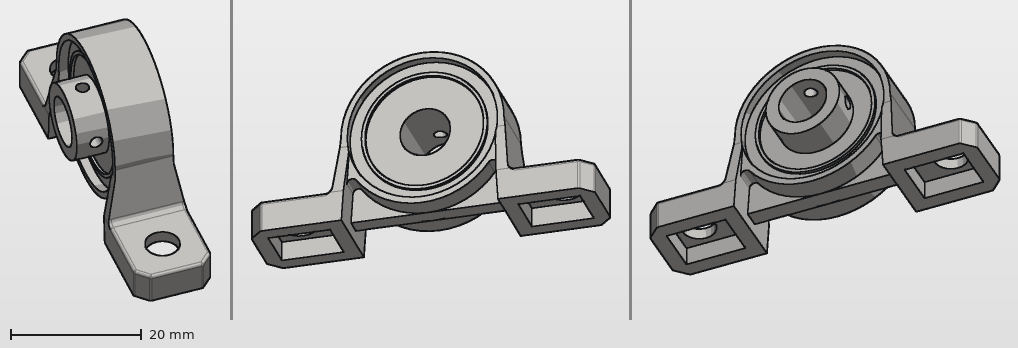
import cadquery as cq

half_length = 27.3
foot_width = 12.55
foot_height = 5.15
corner_chamfer = 2.0
edge_round = 0.5
mount_hole_diameter = 5.35
mount_hole_x = 21.05
foot_wall = 2.5
foot_roof = 1.95

ring_diameter = 25.95
ring_width = 9.5
underside_gap = 2.0
ring_radius = ring_diameter / 2
axis_z = underside_gap + ring_radius
total_height = axis_z + ring_radius

leg_outer_bottom_x = 14.6
leg_inner_bottom_x = 12.45
leg_inner_top_x = 11.6
leg_flare_top_z = 13.5
leg_root_radius = 1.0

web_thickness = 2.75
web_corner_radius = 0.8

recess_diameter = 23.9
recess_depth = 1.55
lip_outer_diameter = 20.0
lip_inner_diameter = 18.85
lip_height = 0.5
collar_diameter = 12.3
collar_front_y = -8.45
bore_diameter = 8.0
set_screw_diameter = 2.0
set_screw_y = -5.3
set_screw_angles = (0, 90)

half_foot_width = foot_width / 2
half_ring_width = ring_width / 2
bearing_face_y = half_ring_width - recess_depth
sides = (-1, 1)


def disc(diameter, y_start, y_end):
    """Cylinder on the bearing axis between two Y positions."""
    return (
        cq.Workplane("XZ", origin=(0, y_start, axis_z))
        .circle(diameter / 2)
        .extrude(y_start - y_end)
    )


def make_right_foot():
    """Foot block on +X with chamfered outer corners and rounded edges."""
    length = half_length - leg_inner_bottom_x
    foot = (
        cq.Workplane("XY", origin=(leg_inner_bottom_x + length / 2, 0, 0))
        .rect(length, foot_width)
        .extrude(foot_height)
    )
    foot = foot.edges("|Z and >X").chamfer(corner_chamfer)
    foot = foot.edges("|Z").edges("not(<X)").fillet(edge_round)
    return foot.faces(">Z").edges("not(<X)").fillet(edge_round)


def make_front_outline():
    """Ring and legs seen along Y, extruded beyond the foot width."""
    depth = 2 * foot_width
    return (
        cq.Workplane("XZ", origin=(0, depth / 2, 0))
        .moveTo(-leg_outer_bottom_x, 0)
        .lineTo(-ring_radius, axis_z)
        .threePointArc((0, total_height), (ring_radius, axis_z))
        .lineTo(leg_outer_bottom_x, 0)
        .close()
        .extrude(depth)
    )


def make_side_outline():
    """Foot, flared leg and ring widths seen along X, over the full length."""
    return (
        cq.Workplane("YZ", origin=(-half_length, 0, 0))
        .moveTo(0, 0)
        .lineTo(half_foot_width, 0)
        .lineTo(half_foot_width, foot_height)
        .lineTo(half_ring_width, leg_flare_top_z)
        .lineTo(half_ring_width, total_height)
        .lineTo(0, total_height)
        .mirrorY()
        .extrude(2 * half_length)
    )


def make_leg_gap(start_y, end_y):
    """Tapered prism filling the space between the legs from start_y to end_y."""
    return (
        cq.Workplane("XZ", origin=(0, start_y, 0))
        .moveTo(-leg_inner_bottom_x, 0)
        .lineTo(leg_inner_bottom_x, 0)
        .lineTo(leg_inner_top_x, leg_flare_top_z)
        .lineTo(-leg_inner_top_x, leg_flare_top_z)
        .close()
        .extrude(start_y - end_y)
    )


def make_solid_housing():
    """Solid ring, legs and feet with filleted leg roots."""
    foot = make_right_foot()
    housing = make_front_outline().union(foot).union(foot.mirror("YZ"))
    root_reach_y = half_foot_width + edge_round
    for side in sides:
        leg_root = cq.selectors.BoxSelector(
            (side * ring_radius, -root_reach_y, edge_round),
            (side * leg_outer_bottom_x, root_reach_y, foot_height + edge_round),
        )
        housing = housing.edges(leg_root).fillet(leg_root_radius)
    return housing.intersect(make_side_outline())


def open_leg_gap(housing):
    """Clear the gap below the ring and beside the web that joins ring and legs."""
    ring = disc(ring_diameter, -half_foot_width, half_foot_width)
    below_web = make_leg_gap(-half_foot_width, half_foot_width).intersect(
        cq.Workplane("XY").box(
            2 * half_length, foot_width, underside_gap, centered=(True, True, False)
        )
    )
    housing = housing.cut(below_web)
    for side in sides:
        outer_y = side * half_foot_width
        beside_ring = make_leg_gap(side * half_ring_width, outer_y)
        beside_web = make_leg_gap(side * web_thickness / 2, outer_y).cut(ring)
        beside_web = beside_web.edges("|Y").edges(">Z").fillet(web_corner_radius)
        housing = housing.cut(beside_ring).cut(beside_web)
    return housing


def hollow_feet(housing):
    """Bolt holes and the open cavities under the feet."""
    cavity_start_x = leg_inner_bottom_x + foot_wall
    cavity_length = half_length - foot_wall - cavity_start_x
    for side in sides:
        cavity = cq.Workplane("XY", origin=(side * (cavity_start_x + cavity_length / 2), 0, 0)).box(
            cavity_length, foot_width - 2 * foot_wall, foot_height - foot_roof,
            centered=(True, True, False),
        )
        hole = (
            cq.Workplane("XY", origin=(side * mount_hole_x, 0, 0))
            .circle(mount_hole_diameter / 2)
            .extrude(foot_height)
        )
        housing = housing.cut(cavity).cut(hole)
    return housing


def fit_bearing(housing):
    """Recessed bearing faces with a raised lip, and the collar with its set screw holes."""
    for side in sides:
        face_y = side * bearing_face_y
        lip_y = side * (bearing_face_y + lip_height)
        recess = disc(recess_diameter, face_y, side * half_foot_width)
        lip = disc(lip_outer_diameter, face_y, lip_y).cut(disc(lip_inner_diameter, face_y, lip_y))
        housing = housing.cut(recess).union(lip)
    housing = housing.union(disc(collar_diameter, collar_front_y, 0))
    housing = housing.cut(disc(bore_diameter, collar_front_y, half_foot_width))
    for angle in set_screw_angles:
        set_screw = (
            cq.Workplane("XY", origin=(0, set_screw_y, axis_z))
            .circle(set_screw_diameter / 2)
            .extrude(collar_diameter / 2)
            .rotate((0, 0, axis_z), (0, 1, axis_z), angle)
        )
        housing = housing.cut(set_screw)
    return housing


solid_housing = make_solid_housing()
open_housing = open_leg_gap(solid_housing)
pillow_block = hollow_feet(open_housing)
result = fit_bearing(pillow_block)